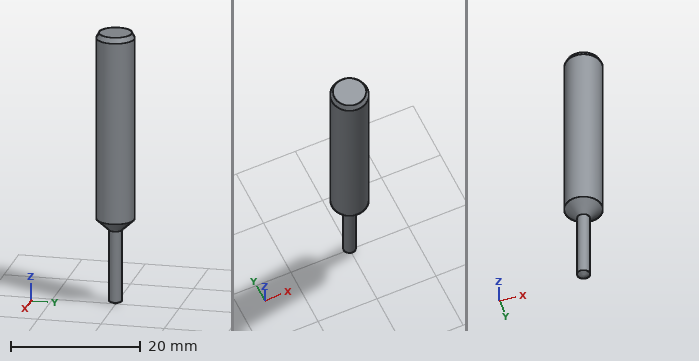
import cadquery as cq

total_length = 44.0

shank_radius = 3.0
top_chamfer_height = 0.85
top_chamfer_width = 0.45
taper_bottom_z = 12.0
taper_top_z = 13.85

drill_radius = 1.0
tip_height = 0.5


def make_shank():
    """Cylinder with a chamfered top end and a cone narrowing down to the drill."""
    return (
        cq.Workplane("XZ")
        .moveTo(0, taper_bottom_z)
        .lineTo(drill_radius, taper_bottom_z)
        .lineTo(shank_radius, taper_top_z)
        .lineTo(shank_radius, total_length - top_chamfer_height)
        .lineTo(shank_radius - top_chamfer_width, total_length)
        .lineTo(0, total_length)
        .close()
        .revolve(360, (0, 0), (0, 1))
    )


def make_drill():
    """Thin cylinder with a conical point, butting against the small end of the shank."""
    return (
        cq.Workplane("XZ")
        .lineTo(drill_radius, tip_height)
        .lineTo(drill_radius, taper_bottom_z)
        .lineTo(0, taper_bottom_z)
        .close()
        .revolve(360, (0, 0), (0, 1))
    )


shank = make_shank()
drill = make_drill()

result = cq.Compound.makeCompound([shank.val(), drill.val()])